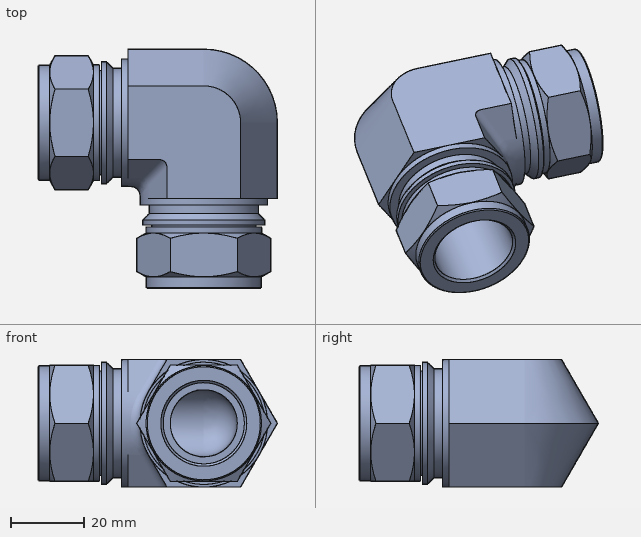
import cadquery as cq
import math


overall = 65.4
hexagon_half_angle = math.radians(30)

body_flats = 34.9
body_apothem = body_flats / 2
body_corner_radius = body_apothem / math.cos(hexagon_half_angle)
body_half_flat = body_corner_radius / 2
body_reach = 20.75
crease_radius = 2.5

arm_length = overall - body_corner_radius

collar_end = 22.5
neck_end = 24.8
flange_cone_end = 26.6
flange_end = 28.0
nut_start = 28.45
nut_hex_start = 30.1
nut_hex_end = 42.1

neck_diameter = 29.9
flange_diameter = 33.4
gap_diameter = 28.6
nut_rear_diameter = 31.7
nut_round_diameter = 31.5
end_chamfer = 0.3
rear_taper_length = 0.3

nut_flats = 31.7
nut_corner_radius = nut_flats / 2 / math.cos(hexagon_half_angle)
nut_bevel_angle = 30

bore_diameter = 18.3
socket_diameter = 22.2
socket_floor = body_reach
mouth_chamfer = 0.65


def turned(profile):
    """Revolve (position along arm, radius) points about the -X arm's axis."""
    points = [(-position, radius) for position, radius in profile]
    return cq.Workplane("XY").polyline(points).close().revolve(360, (0, 0, 0), (1, 0, 0))


def on_both_arms(arm):
    """Join a -X arm shape with its copy on the -Y arm, a half turn about the line X = Y."""
    other_arm = arm.rotate((0, 0, 0), (1, 1, 0), 180)
    return arm.union(other_arm)


def body_arm():
    """Hexagon with its inner corner rounded by a cylinder that runs on as the collar."""
    tangent_y = -body_apothem * math.cos(hexagon_half_angle)
    tangent_z = body_apothem * math.sin(hexagon_half_angle)
    outline = (
        cq.Workplane("YZ")
        .moveTo(body_corner_radius, 0)
        .lineTo(body_half_flat, body_apothem)
        .lineTo(-body_half_flat, body_apothem)
        .lineTo(tangent_y, tangent_z)
        .lineTo(tangent_y, -tangent_z)
        .lineTo(-body_half_flat, -body_apothem)
        .lineTo(body_half_flat, -body_apothem)
        .close()
        .extrude(-body_reach)
    )
    collar = cq.Workplane("YZ").circle(body_apothem).extrude(-collar_end)
    return outline.union(collar)


def body_bend():
    """Outer half of the hexagon swept a quarter turn about the Z axis."""
    return (
        cq.Workplane("XZ")
        .moveTo(0, -body_apothem)
        .lineTo(body_half_flat, -body_apothem)
        .lineTo(body_corner_radius, 0)
        .lineTo(body_half_flat, body_apothem)
        .lineTo(0, body_apothem)
        .close()
        .revolve(90, (0, 0, 0), (0, 1, 0))
    )


def elbow_body():
    body = on_both_arms(body_arm()).union(body_bend())
    crease_limit = body_reach - crease_radius
    crease_zone = cq.selectors.BoxSelector(
        (-crease_limit, -crease_limit, -body_apothem),
        (-body_half_flat, -body_half_flat, body_apothem),
    )
    return body.edges(crease_zone).fillet(crease_radius)


def turned_sections():
    """Neck, flange, gap and the round parts of the nut."""
    return turned([
        (0, 0),
        (0, gap_diameter / 2),
        (body_reach, gap_diameter / 2),
        (body_reach, neck_diameter / 2),
        (neck_end, neck_diameter / 2),
        (flange_cone_end, flange_diameter / 2),
        (flange_end, flange_diameter / 2),
        (flange_end, gap_diameter / 2),
        (nut_start, gap_diameter / 2),
        (nut_start, nut_round_diameter / 2),
        (nut_start + rear_taper_length, nut_rear_diameter / 2),
        (nut_hex_start, nut_rear_diameter / 2),
        (nut_hex_start, nut_round_diameter / 2),
        (arm_length - end_chamfer, nut_round_diameter / 2),
        (arm_length, nut_round_diameter / 2 - end_chamfer),
        (arm_length, 0),
    ])


def nut_hexagon():
    """Hexagonal prism trimmed by a cone at each end."""
    prism = (
        cq.Workplane("YZ", origin=(-nut_hex_start, 0, 0))
        .polygon(6, 2 * nut_corner_radius)
        .extrude(nut_hex_start - nut_hex_end)
    )
    face_radius = nut_round_diameter / 2
    bevel_length = (nut_corner_radius - face_radius) * math.tan(math.radians(nut_bevel_angle))
    envelope = turned([
        (nut_hex_start, 0),
        (nut_hex_start, face_radius),
        (nut_hex_start + bevel_length, nut_corner_radius),
        (nut_hex_end - bevel_length, nut_corner_radius),
        (nut_hex_end, face_radius),
        (nut_hex_end, 0),
    ])
    return prism.intersect(envelope)


def arm_passage():
    return turned([
        (0, 0),
        (0, bore_diameter / 2),
        (socket_floor, bore_diameter / 2),
        (socket_floor, socket_diameter / 2),
        (arm_length - mouth_chamfer, socket_diameter / 2),
        (arm_length, socket_diameter / 2 + mouth_chamfer),
        (arm_length, 0),
    ])


arms = on_both_arms(turned_sections().union(nut_hexagon()))
passage = on_both_arms(arm_passage()).union(cq.Workplane("XY").sphere(bore_diameter / 2))

result = elbow_body().union(arms).cut(passage)